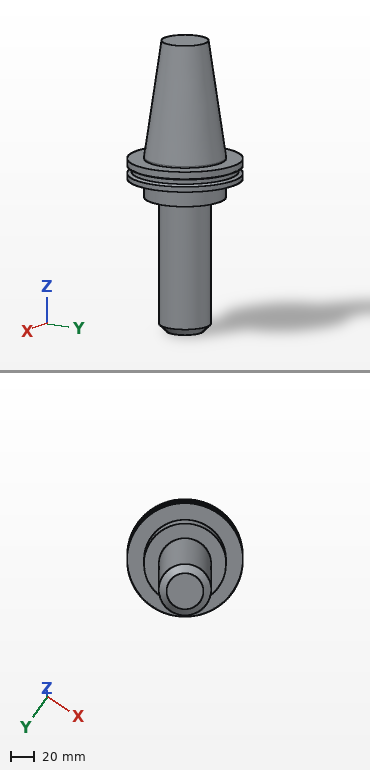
import cadquery as cq

total_length = 254.0
taper_length = 101.5
taper_large_diameter = 69.8
taper_rate = 7 / 24
taper_small_diameter = taper_large_diameter - taper_length * taper_rate

flange_diameter = 98.5
flange_gap = 1.5
upper_rim_height = 6.0
lower_rim_height = 4.5
groove_diameter = 91.5
groove_floor_height = 3.8
groove_side_height = 1.5

collar_height = 16.3
shank_diameter = 44.5
shank_chamfer = 6.5

gauge_z = total_length - taper_length
flange_top_z = gauge_z - flange_gap
groove_top_z = flange_top_z - upper_rim_height
floor_top_z = groove_top_z - groove_side_height
floor_bottom_z = floor_top_z - groove_floor_height
groove_bottom_z = floor_bottom_z - groove_side_height
flange_bottom_z = groove_bottom_z - lower_rim_height
collar_bottom_z = flange_bottom_z - collar_height

taper_small_radius = taper_small_diameter / 2
taper_large_radius = taper_large_diameter / 2
flange_radius = flange_diameter / 2
groove_radius = groove_diameter / 2
shank_radius = shank_diameter / 2

profile = [
    (0, 0),
    (shank_radius - shank_chamfer, 0),
    (shank_radius, shank_chamfer),
    (shank_radius, collar_bottom_z),
    (taper_large_radius, collar_bottom_z),
    (taper_large_radius, flange_bottom_z),
    (flange_radius, flange_bottom_z),
    (flange_radius, groove_bottom_z),
    (groove_radius, floor_bottom_z),
    (groove_radius, floor_top_z),
    (flange_radius, groove_top_z),
    (flange_radius, flange_top_z),
    (taper_large_radius, flange_top_z),
    (taper_large_radius, gauge_z),
    (taper_small_radius, total_length),
    (0, total_length),
]

result = cq.Workplane("XZ").polyline(profile).close().revolve(360, (0, 0, 0), (0, 1, 0))